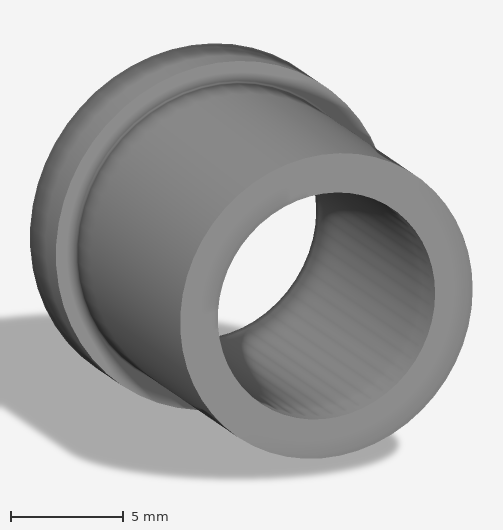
import cadquery as cq

length = 15.0
flange_diameter = 16
flange_thickness = 3.0
body_diameter = 14.0
bore_diameter = 10.4
mouth_radius = 1.5
corner_radius = 0.1


def cylinder(diameter, width):
    """Solid cylinder about the X axis, beginning at x = 0."""
    return cq.Workplane("YZ").circle(diameter / 2).extrude(width)


smallest_circle = cq.selectors.RadiusNthSelector(0)

sleeve = cylinder(flange_diameter, flange_thickness).union(cylinder(body_diameter, length))
sleeve = sleeve.faces(">X[-2]").edges(smallest_circle).fillet(corner_radius)

sleeve = sleeve.cut(cylinder(bore_diameter, length))
result = sleeve.faces("<X").edges(smallest_circle).fillet(mouth_radius)